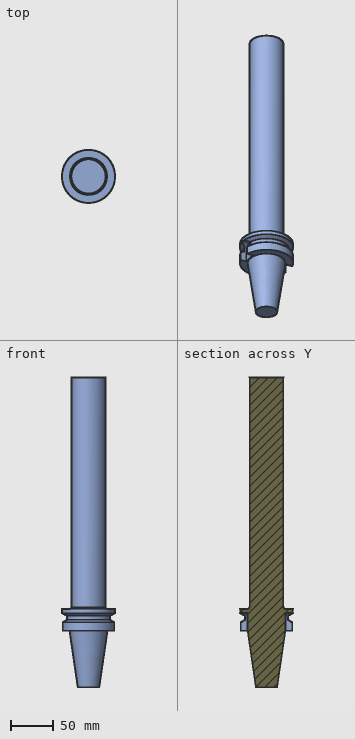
import cadquery as cq

total_height = 365.5
shaft_radius = 20.0
flange_radius = 31.5

taper_height = 65.5
gauge_radius = 22.3
taper_ratio = 7 / 24
tip_radius = gauge_radius - taper_height * taper_ratio / 2

neck_height = 1.0
flange_bottom = taper_height + neck_height
flange_top = 92.5
groove_middle = 82.2
groove_width = 11.0
groove_floor_width = 4.8
groove_radius = 26.5

foot_radius = 22.0
foot_height = 2.0

slot_width = 16.0
slot_floor_distance = 22.5
slot_top = 87.7


def turned_body():
    """Revolve the half profile of shank, flange and shaft about Z."""
    return (
        cq.Workplane("XZ")
        .moveTo(0, 0)
        .lineTo(tip_radius, 0)
        .lineTo(gauge_radius, taper_height)
        .lineTo(gauge_radius, flange_bottom)
        .lineTo(flange_radius, flange_bottom)
        .lineTo(flange_radius, groove_middle - groove_width / 2)
        .lineTo(groove_radius, groove_middle - groove_floor_width / 2)
        .lineTo(groove_radius, groove_middle + groove_floor_width / 2)
        .lineTo(flange_radius, groove_middle + groove_width / 2)
        .lineTo(flange_radius, flange_top)
        .lineTo(foot_radius, flange_top)
        .lineTo(shaft_radius, flange_top + foot_height)
        .lineTo(shaft_radius, total_height)
        .lineTo(0, total_height)
        .close()
        .revolve(360, (0, 0, 0), (0, 1, 0))
    )


def drive_slot(side):
    """Cutter for one drive slot; side is +1 or -1 along X."""
    half_width = slot_width / 2
    arch_start = slot_top - half_width
    return (
        cq.Workplane("YZ")
        .workplane(offset=side * slot_floor_distance)
        .moveTo(-half_width, flange_bottom)
        .lineTo(-half_width, arch_start)
        .threePointArc((0, slot_top), (half_width, arch_start))
        .lineTo(half_width, flange_bottom)
        .close()
        .extrude(side * flange_radius)
    )


result = turned_body()
for side in (-1, 1):
    result = result.cut(drive_slot(side))